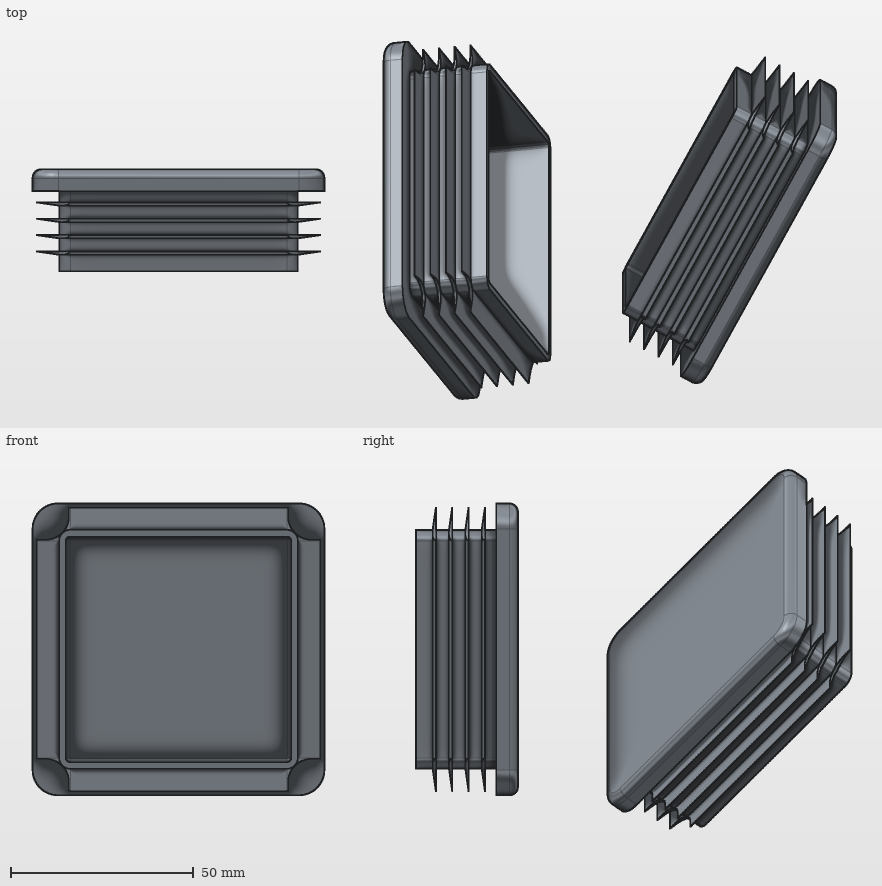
import cadquery as cq

flange_side = 80
flange_thickness = 6.0
flange_corner_radius = 7.0
flange_edge_radius = 2.5

plug_side = 65.4
plug_length = 22.0
plug_corner_radius = 3.0
wall = 1.8
cavity_side = plug_side - 2 * wall
cavity_radius = plug_corner_radius - wall
floor_edge_radius = 1.0

fin_count = 4
fin_pitch = 4.5
first_fin_offset = 3.0
fin_side = 77.6
fin_root_thickness = 1.0
fin_tip_thickness = 0.1
fin_height = (fin_side - plug_side) / 2
fin_corner_radius = plug_corner_radius + fin_height

relief_inner_edge = 30.0
relief_radius = 6.4


def rounded_block(side, start_y, length, corner_radius):
    """Square block centred on the Y axis, running from start_y toward -Y."""
    return (
        cq.Workplane("XZ", origin=(0, start_y, 0))
        .rect(side, side)
        .extrude(length)
        .edges("|Y")
        .fillet(corner_radius)
    )


def rounded_square(side, corner_radius):
    return cq.Sketch().rect(side, side).vertices().fillet(corner_radius)


def make_flange():
    flange = rounded_block(flange_side, flange_thickness, flange_thickness, flange_corner_radius)
    return flange.faces(">Y").edges().fillet(flange_edge_radius)


def make_fin(flat_y):
    """Fin with a flat face toward the flange, thinning from the plug to its tip."""
    tip = rounded_block(fin_side, flat_y, fin_tip_thickness, fin_corner_radius)
    tip_outline = rounded_square(fin_side, fin_corner_radius)
    root_outline = rounded_square(plug_side, plug_corner_radius)
    taper_height = fin_root_thickness - fin_tip_thickness
    taper = (
        cq.Workplane("XZ", origin=(0, flat_y - fin_tip_thickness, 0))
        .placeSketch(tip_outline, root_outline.moved(cq.Location(cq.Vector(0, 0, taper_height))))
        .loft()
    )
    return tip.union(taper)


def make_corner_reliefs():
    """Rounded notches that thin the fins to almost nothing at the plug corners."""
    relief_side = flange_side / 2 - relief_inner_edge + relief_radius
    relief_center = relief_inner_edge + relief_side / 2
    centers = [(x, z) for x in (-relief_center, relief_center) for z in (-relief_center, relief_center)]
    return (
        cq.Workplane("XZ")
        .pushPoints(centers)
        .rect(relief_side, relief_side)
        .extrude(plug_length)
        .edges("|Y")
        .fillet(relief_radius)
    )


def make_fins():
    fins = cq.Workplane("XZ")
    for index in range(fin_count):
        fins = fins.union(make_fin(-first_fin_offset - index * fin_pitch))
    return fins.cut(make_corner_reliefs())


def make_cavity():
    """Hollow of the plug, as deep as the flange underside, with a rounded floor edge."""
    cavity = rounded_block(cavity_side, 0, plug_length, cavity_radius)
    return cavity.faces(">Y").edges().fillet(floor_edge_radius)


plug = rounded_block(plug_side, 0, plug_length, plug_corner_radius)
result = make_flange().union(plug).union(make_fins()).cut(make_cavity())